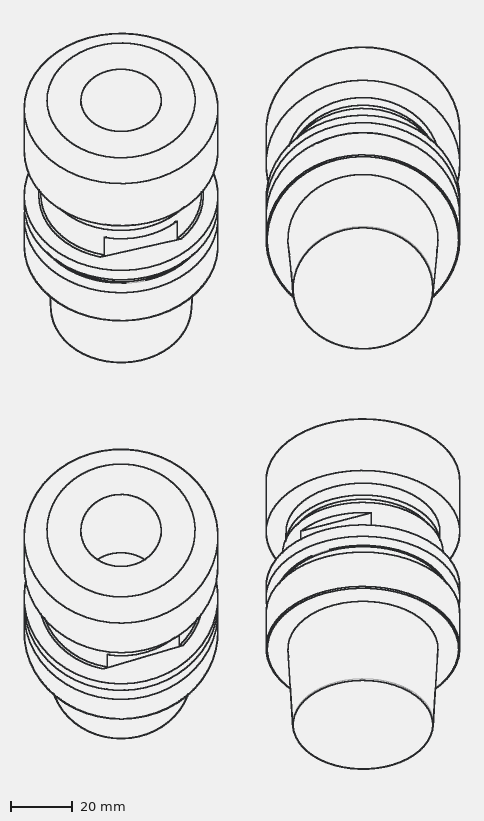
import cadquery as cq

total_height = 107.0
body_radius = 31.51

nut_face_radius = 24.1
nut_bevel_height = 4.2
nut_bottom = 81.1
bore_radius = 13.1
bore_depth = 42.8

thread_radius = 25.0
thread_bottom = 76.1
relief_radius = 24.0
relief_bevel = 0.9

collar_top = 72.1
collar_radius = 26.1
collar_foot_flare = 0.6
flat_top = 67.8
flat_distance = 23.0

flange_top = 58.2
flange_bottom = 31.9
flange_chamfer = 0.4
groove_radius = 28.5
groove_upper_rim = 53.4
groove_lower_rim = 46.8
groove_side_height = 1.6
groove_fillet = 0.4

shank_top_radius = 24.4
shank_bottom_radius = 22.9
shank_chamfer_height = 0.6
shank_chamfer_width = 0.2


def make_body():
    """Revolve the half section, listed as (radius, height) from the bottom up."""
    section = [
        (0, 0),
        (shank_bottom_radius - shank_chamfer_width, 0),
        (shank_bottom_radius, shank_chamfer_height),
        (shank_top_radius, flange_bottom),
        (body_radius - flange_chamfer, flange_bottom),
        (body_radius, flange_bottom + flange_chamfer),
        (body_radius, groove_lower_rim),
        (groove_radius, groove_lower_rim + groove_side_height),
        (groove_radius, groove_upper_rim - groove_side_height),
        (body_radius, groove_upper_rim),
        (body_radius, flange_top),
        (collar_radius + collar_foot_flare, flange_top),
        (collar_radius, flange_top + collar_foot_flare),
        (collar_radius, collar_top),
        (relief_radius, collar_top),
        (relief_radius, thread_bottom - relief_bevel),
        (thread_radius, thread_bottom),
        (thread_radius, nut_bottom),
        (body_radius, nut_bottom),
        (body_radius, total_height - nut_bevel_height),
        (nut_face_radius, total_height),
        (0, total_height),
    ]
    body = cq.Workplane("XZ").polyline(section).close().revolve(360, (0, 0, 0), (0, 1, 0))
    groove_corners = cq.selectors.BoxSelector(
        (-body_radius, -body_radius, groove_lower_rim + groove_side_height / 2),
        (body_radius, body_radius, groove_upper_rim - groove_side_height / 2),
    )
    return body.edges("%CIRCLE").edges(groove_corners).fillet(groove_fillet)


def make_bore():
    """Blind bore from the nut face."""
    return (
        cq.Workplane("XY")
        .workplane(offset=total_height - bore_depth)
        .circle(bore_radius)
        .extrude(bore_depth)
    )


def make_flat_cutter(side):
    """Block outside the wrench flat on the -X (side = -1) or +X (side = 1) side."""
    cutter_depth = body_radius - flat_distance
    return (
        cq.Workplane("XY")
        .box(cutter_depth, 2 * body_radius, flat_top - flange_top, centered=(True, True, False))
        .translate((side * (flat_distance + cutter_depth / 2), 0, flange_top))
    )


result = make_body().cut(make_bore())
for side in (-1, 1):
    result = result.cut(make_flat_cutter(side))